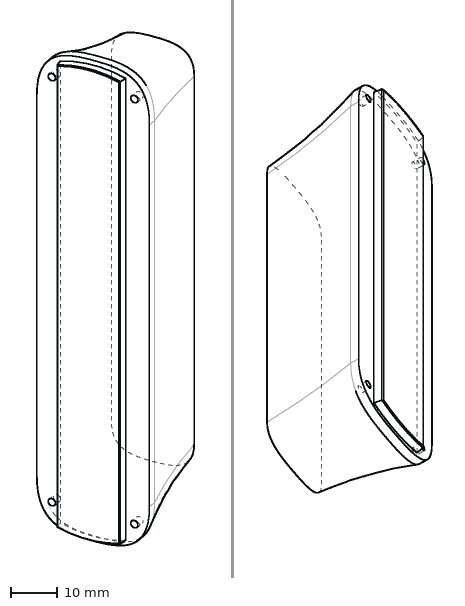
import cadquery as cq

length = 119.2
width = 28.0
depth = 29.0

dome_fullness = 5.6

flange_thickness = 2.1
flange_dome = 12.3

back_width = 20.6
back_length = 105.4
back_dome = 7.0
waist_width = 23.4
waist_length = 110.8
waist_dome = 9.0
waist_from_back = 12.8

panel_height = 2.1
panel_width = 16.3
panel_length = 116.8
panel_side_length = 114.4
panel_draft = 0.4
panel_edge = 0.2

hole_diameter = 1.8
hole_spacing_x = 20.5
hole_spacing_z = 105.4
hole_depth = flange_thickness

flange_front = -depth / 2 + panel_height
flange_back = flange_front + flange_thickness
body_back = depth / 2
waist_y = body_back - waist_from_back


def plane_at(y):
    """Sketch plane facing the front, with local x along X and local y along Z."""
    return cq.Workplane("XZ", origin=(0, y, 0))


def domed_outline(y, section_width, section_length, dome_rise):
    """Wire at depth y with straight sides and one smooth curve over each end."""
    half_width = section_width / 2
    half_length = section_length / 2
    half_side = half_length - dome_rise
    pull = dome_fullness * dome_rise

    def add_dome(outline, points, side):
        return outline.spline(
            points,
            tangents=[(0, side * pull), (0, -side * pull)],
            parameters=[0, 0.5, 1],
            scale=False,
            includeCurrent=True,
        )

    outline = plane_at(y).moveTo(-half_width, -half_side).lineTo(-half_width, half_side)
    outline = add_dome(outline, [(0, half_length), (half_width, half_side)], 1)
    outline = outline.lineTo(half_width, -half_side)
    outline = add_dome(outline, [(0, -half_length), (-half_width, -half_side)], -1)
    return outline.close()


def make_flange():
    return domed_outline(flange_back, width, length, flange_dome).extrude(flange_thickness)


def make_body():
    """Smooth loft through the back, the waist and the flange outline."""
    sections = [
        domed_outline(body_back, back_width, back_length, back_dome),
        domed_outline(waist_y, waist_width, waist_length, waist_dome),
        domed_outline(flange_back, width, length, flange_dome),
    ]
    wires = [section.val() for section in sections]
    return cq.Workplane("XY").newObject([cq.Solid.makeLoft(wires)])


def make_panel():
    half_length = panel_length / 2
    half_side = panel_side_length / 2
    half_base = panel_width / 2
    half_face = half_base - panel_draft
    bowed_block = (
        plane_at(flange_front)
        .moveTo(-half_base, -half_side)
        .threePointArc((0, -half_length), (half_base, -half_side))
        .lineTo(half_base, half_side)
        .threePointArc((0, half_length), (-half_base, half_side))
        .close()
        .extrude(panel_height)
    )
    panel_front = flange_front - panel_height
    drafted_section = (
        cq.Workplane("XY")
        .polyline([
            (-half_base, flange_front),
            (half_base, flange_front),
            (half_face, panel_front),
            (-half_face, panel_front),
        ])
        .close()
        .extrude(half_length, both=True)
    )
    return bowed_block.intersect(drafted_section).faces("<Y").chamfer(panel_edge)


def make_holes():
    return (
        plane_at(flange_front + hole_depth)
        .rect(hole_spacing_x, hole_spacing_z, forConstruction=True)
        .vertices()
        .circle(hole_diameter / 2)
        .extrude(hole_depth)
    )


result = make_body().union(make_flange()).union(make_panel()).cut(make_holes())